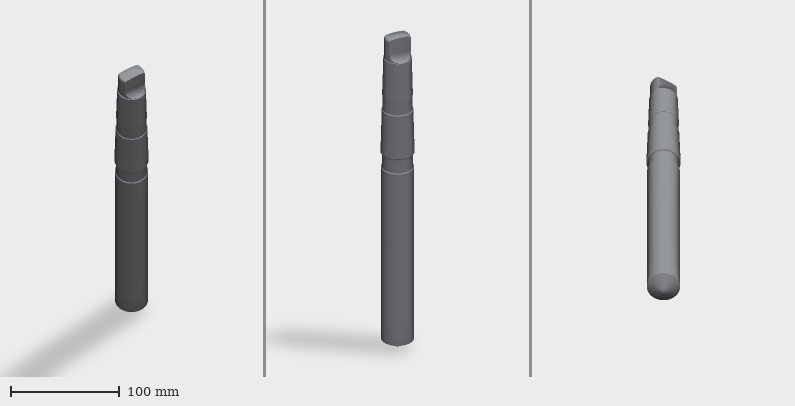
import cadquery as cq
import math

LARGE_DIAMETER = 31.5
TAPER_RATIO = 1 / 19.254
TAPER_START = 24.2
TAPER_END = 124.4
TAPER_END_CHAMFER = 0.9

RELIEF_DIAMETER = 27.8
RELIEF_START = 63.0
RELIEF_END = 78
RELIEF_CHAMFER = 0.6

TANG_DIAMETER = 24.5
TANG_THICKNESS = 11.8
TANG_ANGLE = 61
TANG_RUNOUT_RADIUS = 8.0
TANG_EDGE_RADIUS = 2.5
TANG_CROWN_HEIGHT = 1.2

NECK_DIAMETER = 28.66
NECK_END = 139
NECK_CHAMFER = 0.6
DRILL_DIAMETER = 30.5
POINT_ANGLE = 118.0
TOTAL_LENGTH = 330.2
HEAD_START = 209.6

drill_radius = DRILL_DIAMETER / 2
chamfer_start = TAPER_END - TAPER_END_CHAMFER
point_height = drill_radius / math.tan(math.radians(POINT_ANGLE / 2))


def height(distance):
    """Z of a plane given by its distance below the tang end; the drill tip is at Z = 0."""
    return TOTAL_LENGTH - distance


def taper_radius(distance):
    """Radius of the Morse taper at a distance below the tang end."""
    return (LARGE_DIAMETER + (distance - chamfer_start) * TAPER_RATIO) / 2


def shank_blank():
    """Turned shank: tang stock, relieved taper, neck and body down to the head."""
    tang_radius = TANG_DIAMETER / 2
    crown_radius = tang_radius - TANG_EDGE_RADIUS
    edge_mid = TANG_EDGE_RADIUS * math.sqrt(0.5)
    edge_centre = TANG_CROWN_HEIGHT + TANG_EDGE_RADIUS
    relief_radius = RELIEF_DIAMETER / 2
    neck_radius = NECK_DIAMETER / 2
    large_radius = LARGE_DIAMETER / 2
    lower_taper_start = RELIEF_END + RELIEF_CHAMFER
    return (
        cq.Workplane("XZ")
        .moveTo(0, height(0))
        .lineTo(crown_radius, height(TANG_CROWN_HEIGHT))
        .threePointArc(
            (crown_radius + edge_mid, height(edge_centre - edge_mid)),
            (tang_radius, height(edge_centre)),
        )
        .lineTo(tang_radius, height(TAPER_START))
        .lineTo(taper_radius(TAPER_START), height(TAPER_START))
        .lineTo(taper_radius(RELIEF_START), height(RELIEF_START))
        .lineTo(relief_radius, height(RELIEF_START))
        .lineTo(relief_radius, height(RELIEF_END))
        .lineTo(taper_radius(lower_taper_start), height(lower_taper_start))
        .lineTo(large_radius, height(chamfer_start))
        .lineTo(large_radius - TAPER_END_CHAMFER, height(TAPER_END))
        .lineTo(neck_radius, height(TAPER_END))
        .lineTo(neck_radius, height(NECK_END))
        .lineTo(drill_radius - NECK_CHAMFER, height(NECK_END))
        .lineTo(drill_radius, height(NECK_END + NECK_CHAMFER))
        .lineTo(drill_radius, height(HEAD_START))
        .lineTo(0, height(HEAD_START))
        .close()
        .revolve(360, (0, 0, 0), (0, 1, 0))
    )


def tang_flat_cutter(side):
    """Material milled off one side of the tang; side is +1 or -1."""
    flat = TANG_THICKNESS / 2
    outside = LARGE_DIAMETER
    radius = TANG_RUNOUT_RADIUS
    arc_start = height(TAPER_START - radius)
    arc_mid = radius * (1 - math.sqrt(0.5))
    return (
        cq.Workplane("XZ")
        .moveTo(side * flat, height(0))
        .lineTo(side * flat, arc_start)
        .threePointArc(
            (side * (flat + arc_mid), height(TAPER_START) + arc_mid),
            (side * (flat + radius), height(TAPER_START)),
        )
        .lineTo(side * outside, height(TAPER_START))
        .lineTo(side * outside, height(0))
        .close()
        .extrude(LARGE_DIAMETER, both=True)
        .rotate((0, 0, 0), (0, 0, 1), TANG_ANGLE - 90)
    )


def make_shank():
    """Morse taper shank with a flatted tang."""
    shank = shank_blank()
    for side in (-1, 1):
        shank = shank.cut(tang_flat_cutter(side))
    return shank


def make_head():
    """Cylindrical cutting head with a conical point at the bottom."""
    return (
        cq.Workplane("XZ")
        .moveTo(0, 0)
        .lineTo(drill_radius, point_height)
        .lineTo(drill_radius, height(HEAD_START))
        .lineTo(0, height(HEAD_START))
        .close()
        .revolve(360, (0, 0, 0), (0, 1, 0))
    )


shank = make_shank()
head = make_head()

result = cq.Compound.makeCompound([shank.val(), head.val()])